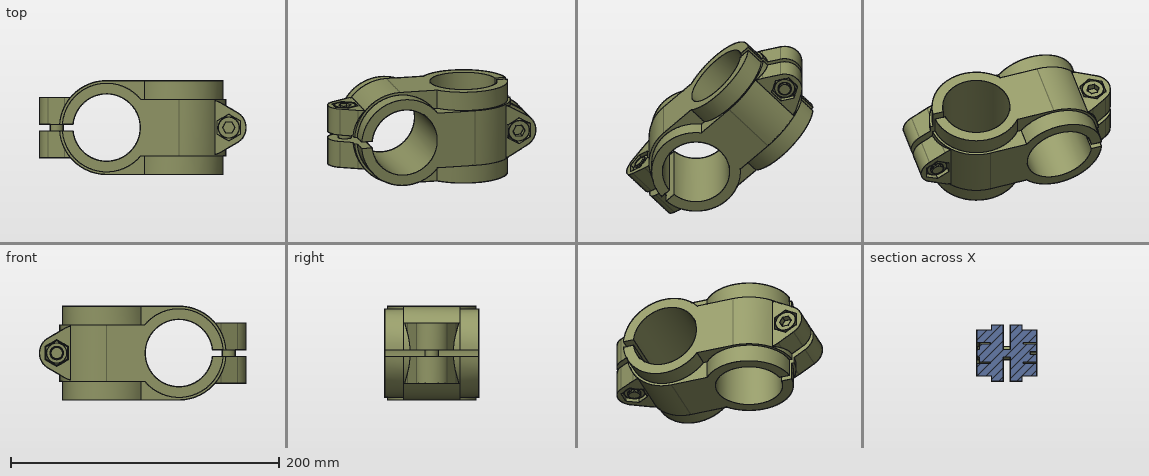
import cadquery as cq
import math

overall_length = 154.0
clamp_width = 70.0
bore_spacing = 53.9
bore_axis_x = -bore_spacing / 2

bore_diameter = 50.0
ring_diameter = 66.0
band_height = 42.0
half_band = band_height / 2
slot_width = 5.0

lug_width = 45.0
lug_nose_radius = 13.0
lug_root_radius = half_band
lug_flank_angle = math.radians(30)
lug_end_x = -overall_length / 2
bolt_x = lug_end_x + lug_nose_radius

half_lug = lug_width / 2
seat_flats = 17.2
seat_depth = 10.0
seat_floor = half_lug - seat_depth
bolt_diameter = 10.0
bolt_tip_chamfer = 0.8
head_diameter = 15.9
head_chamfer = 0.2
socket_flats = 8.0
socket_depth = 5.0
nut_flats = 16.0
nut_height = 8.0
nut_face_diameter = 15.0
nut_chamfer_angle = math.radians(30)
nut_face_y = -(seat_floor + nut_height)


def hexagon_diameter(flats):
    """Diameter across the corners of a hexagon with the given width across flats."""
    return flats / math.cos(math.pi / 6)


def bolt_plane(y, corner_on_x=False):
    """Plane facing +Y on the bolt axis, with a hexagon corner on Z or on X."""
    corner_direction = (1, 0, 0) if corner_on_x else (0, 0, 1)
    return cq.Workplane(cq.Plane(origin=(bolt_x, y, 0), xDir=corner_direction, normal=(0, 1, 0)))


def bore_plane():
    """Plane across the bore at mid height, facing the slot so that circles start and end in it."""
    return cq.Workplane(cq.Plane(origin=(bore_axis_x, 0, 0), xDir=(-1, 0, 0), normal=(0, 0, 1)))


def make_lug():
    """Lug outlined by a nose circle and a larger root circle joined by tangent flanks."""
    root_x = bolt_x + (lug_root_radius - lug_nose_radius) / math.sin(lug_flank_angle)
    flank_sin = math.sin(lug_flank_angle)
    flank_cos = math.cos(lug_flank_angle)
    nose_tangent_x = bolt_x - lug_nose_radius * flank_sin
    nose_tangent_z = lug_nose_radius * flank_cos
    root_tangent_x = root_x - lug_root_radius * flank_sin
    root_tangent_z = lug_root_radius * flank_cos
    outline = (
        cq.Workplane("XZ")
        .moveTo(bore_axis_x, -lug_root_radius)
        .lineTo(root_x, -lug_root_radius)
        .radiusArc((root_tangent_x, -root_tangent_z), lug_root_radius)
        .lineTo(nose_tangent_x, -nose_tangent_z)
        .threePointArc((lug_end_x, 0), (nose_tangent_x, nose_tangent_z))
        .lineTo(root_tangent_x, root_tangent_z)
        .radiusArc((root_x, lug_root_radius), lug_root_radius)
        .lineTo(bore_axis_x, lug_root_radius)
        .close()
    )
    return outline.extrude(half_lug, both=True)


def make_clamp_body():
    """Solid ring, band reaching to the other clamp's axis, and lug."""
    ring = bore_plane().circle(ring_diameter / 2).extrude(clamp_width / 2, both=True)
    band_round = bore_plane().circle(clamp_width / 2).extrude(half_band, both=True)
    band_bridge = cq.Workplane("XY").box(bore_spacing, clamp_width, band_height)
    return ring.union(band_round).union(band_bridge).union(make_lug())


def make_clamp_cuts():
    """Bore, slot splitting the lug, and the two hexagonal seats."""
    bore = bore_plane().circle(bore_diameter / 2).extrude(clamp_width / 2, both=True)
    slot_length = bore_axis_x - lug_end_x
    slot = cq.Workplane("XY").box(slot_length, slot_width, clamp_width).translate(
        (bore_axis_x - slot_length / 2, 0, 0)
    )
    cuts = bore.union(slot)
    for seat_start in (-half_lug, seat_floor):
        seat = bolt_plane(seat_start).polygon(6, hexagon_diameter(seat_flats)).extrude(seat_depth)
        cuts = cuts.union(seat)
    return cuts


def make_nut():
    """Hexagon nut with its outer corners turned down to a conical chamfer."""
    corner_diameter = hexagon_diameter(nut_flats)
    blank = bolt_plane(nut_face_y).polygon(6, corner_diameter).extrude(nut_height)
    face_radius = nut_face_diameter / 2
    rim_radius = corner_diameter / 2
    chamfer_depth = (rim_radius - face_radius) * math.tan(nut_chamfer_angle)
    envelope = (
        cq.Workplane("XY")
        .polyline([
            (bolt_x, nut_face_y),
            (bolt_x + face_radius, nut_face_y),
            (bolt_x + rim_radius, nut_face_y + chamfer_depth),
            (bolt_x + rim_radius, -seat_floor),
            (bolt_x, -seat_floor),
        ])
        .close()
        .revolve(360, (bolt_x, 0, 0), (bolt_x, 1, 0))
    )
    return blank.intersect(envelope)


def make_bolt():
    """Socket head bolt, flush with both ends of the lug."""
    shank = bolt_plane(-half_lug).circle(bolt_diameter / 2).extrude(lug_width - seat_depth)
    shank = shank.faces("<Y").chamfer(bolt_tip_chamfer)
    head = bolt_plane(seat_floor).circle(head_diameter / 2).extrude(seat_depth)
    head = head.faces(">Y").chamfer(head_chamfer)
    socket = (
        bolt_plane(half_lug - socket_depth, corner_on_x=True)
        .polygon(6, hexagon_diameter(socket_flats))
        .extrude(socket_depth)
    )
    return shank.union(head).cut(socket)


def crossed_copy(shape):
    """The matching shape of the other clamp: a half turn about the YZ diagonal."""
    return shape.rotate((0, 0, 0), (0, 1, 1), 180)


body = make_clamp_body()
cuts = make_clamp_cuts()
fastener = make_nut().union(make_bolt())

result = body.union(crossed_copy(body)).cut(cuts).cut(crossed_copy(cuts))
result = result.union(fastener).union(crossed_copy(fastener))